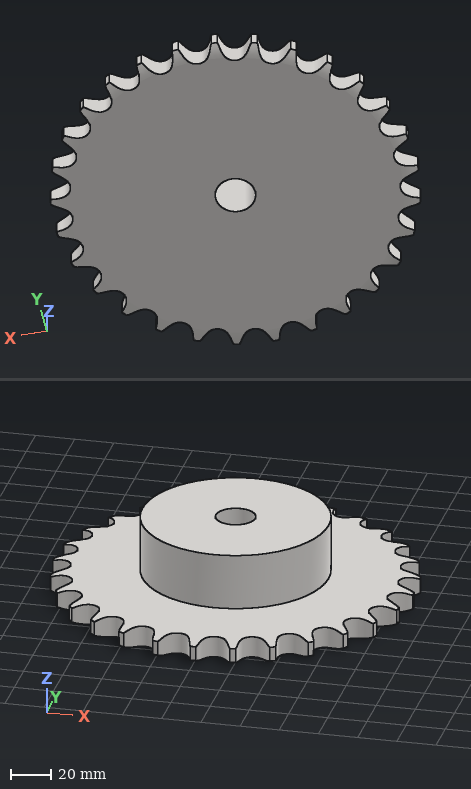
import cadquery as cq
import math


tooth_count = 29
pitch_radius = 88.1
roller_diameter = 12.0
tip_diameter = 184.1
plate_thickness = 11.0
hub_diameter = 95.0
overall_height = 40.0
bore_diameter = 20.0
relief_start_radius = 83.7
relief_arc_radius = 21.2

roller_clearance = 0.07
pitch_angle = 360 / tooth_count
seat_end_angle = 35 + 60 / tooth_count
working_sweep = 18 - 56 / tooth_count
straight_end_angle = 17 - 64 / tooth_count
working_centre_offset = 0.8 * roller_diameter
topping_centre_offset = 1.4 * roller_diameter

seat_radius = roller_diameter / 2 + roller_clearance
working_radius = seat_radius + working_centre_offset
straight_length = (
    topping_centre_offset * math.sin(math.radians(straight_end_angle))
    - working_centre_offset * math.sin(math.radians(working_sweep))
)
topping_radius = (
    working_centre_offset * math.cos(math.radians(working_sweep))
    + topping_centre_offset * math.cos(math.radians(straight_end_angle))
    - working_radius
)

tip_radius = tip_diameter / 2
cutter_overrun = 1.8
gap_outer_radius = tip_radius + cutter_overrun


def polar_offset(point, distance, angle):
    """Point at a distance from another, in a direction given in degrees from +X."""
    turn = math.radians(angle)
    return (point[0] + distance * math.cos(turn), point[1] + distance * math.sin(turn))


def mirrored(point):
    return (-point[0], point[1])


def make_blank():
    """Toothless plate, both faces curving in towards a thinner rim."""
    relief_width = tip_radius - relief_start_radius
    middle_width = relief_width / 2

    def relief_depth(width):
        return relief_arc_radius - math.sqrt(relief_arc_radius**2 - width**2)

    rim_depth = relief_depth(relief_width)
    middle_depth = relief_depth(middle_width)
    middle_radius = relief_start_radius + middle_width
    return (
        cq.Workplane("XZ")
        .lineTo(relief_start_radius, 0)
        .threePointArc((middle_radius, middle_depth), (tip_radius, rim_depth))
        .lineTo(tip_radius, plate_thickness - rim_depth)
        .threePointArc(
            (middle_radius, plate_thickness - middle_depth),
            (relief_start_radius, plate_thickness),
        )
        .lineTo(0, plate_thickness)
        .close()
        .revolve(360, (0, 0, 0), (0, 1, 0))
    )


def make_tooth_gap():
    """Cutter for the gap on +Y: a roller seat, flanked by working arcs, straights and topping arcs."""
    roller_centre = (0, pitch_radius)
    flank_angle = working_sweep - seat_end_angle

    seat_bottom = polar_offset(roller_centre, seat_radius, -90)
    seat_end = polar_offset(roller_centre, seat_radius, -seat_end_angle)

    working_centre = polar_offset(roller_centre, working_centre_offset, 180 - seat_end_angle)
    working_middle = polar_offset(working_centre, working_radius, working_sweep / 2 - seat_end_angle)
    working_end = polar_offset(working_centre, working_radius, flank_angle)

    straight_end = polar_offset(working_end, straight_length, flank_angle + 90)

    topping_centre = polar_offset(straight_end, topping_radius, flank_angle)
    topping_rise = gap_outer_radius - topping_centre[1]
    topping_end_angle = 180 - math.degrees(math.asin(topping_rise / topping_radius))
    topping_middle_angle = (180 + flank_angle + topping_end_angle) / 2
    topping_middle = polar_offset(topping_centre, topping_radius, topping_middle_angle)
    topping_end = polar_offset(topping_centre, topping_radius, topping_end_angle)

    return (
        cq.Workplane("XY")
        .moveTo(*topping_end)
        .threePointArc(topping_middle, straight_end)
        .lineTo(*working_end)
        .threePointArc(working_middle, seat_end)
        .threePointArc(seat_bottom, mirrored(seat_end))
        .threePointArc(mirrored(working_middle), mirrored(working_end))
        .lineTo(*mirrored(straight_end))
        .threePointArc(mirrored(topping_middle), mirrored(topping_end))
        .close()
        .extrude(plate_thickness)
    )


def cut_teeth(blank):
    gap = make_tooth_gap()
    toothed = blank
    for index in range(tooth_count):
        toothed = toothed.cut(gap.rotate((0, 0, 0), (0, 0, 1), index * pitch_angle))
    return toothed


hub = cq.Workplane("XY").circle(hub_diameter / 2).extrude(overall_height)
bore = cq.Workplane("XY").circle(bore_diameter / 2).extrude(overall_height)

result = cut_teeth(make_blank()).union(hub).cut(bore)